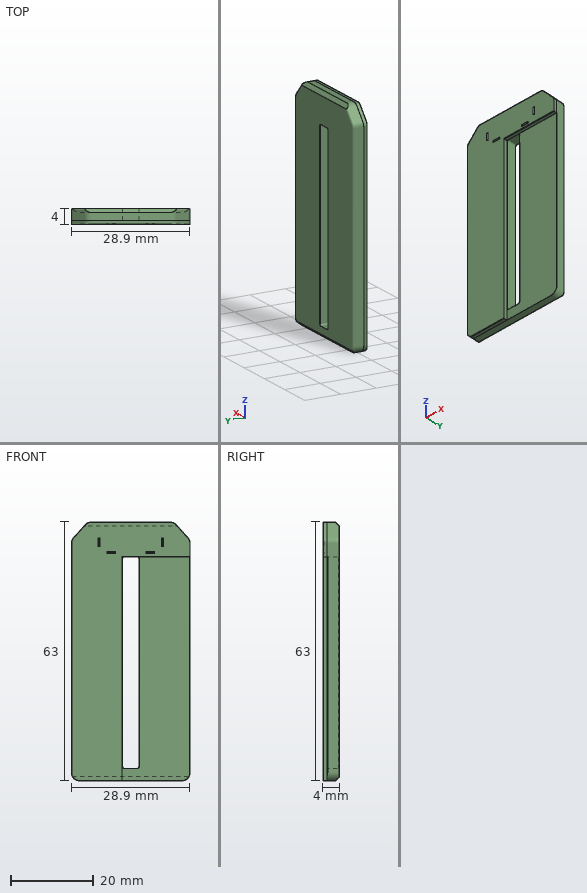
import cadquery as cq

height = 63.0
width = 28.9
depth = 4.0
front_y = -depth / 2
back_y = depth / 2
full_width = (-width / 2, width / 2)
full_height = (-height / 2, height / 2)

front_chamfer = 0.1
bevel_width = 4.0
bevel_height = 4.4
corner_radius = 2.0

plate_thickness = 1.0
joint_y = front_y + plate_thickness
plate_inner_x = -2.15
plate_inner_z = 23.05

base_thickness = depth - plate_thickness
back_edge_radius = 0.5
end_slope = 1.0
slot_width = 3.9
slot_bottom_z = -28.5
slot_corner_radius = 0.4
slot_chamfer = 0.2

groove_length = 2.15
groove_width = 0.5
groove_depth = 0.25
upright_groove_x = 7.75
upright_groove_z = 26.6
level_groove_x = 4.7
level_groove_z = 24.05


def box_between(x_range, y_range, z_range):
    """Box spanning the given (low, high) ranges."""
    lows, highs = zip(x_range, y_range, z_range)
    sizes = [high - low for low, high in zip(lows, highs)]
    return cq.Workplane("XY").box(*sizes, centered=False).translate(lows)


def outline_slab(y_start, thickness):
    """Slab with bevelled top corners and all outline corners rounded, extending toward +Y."""
    half_width = width / 2
    half_height = height / 2
    points = [
        (-half_width, -half_height),
        (half_width, -half_height),
        (half_width, half_height - bevel_height),
        (half_width - bevel_width, half_height),
        (bevel_width - half_width, half_height),
        (-half_width, half_height - bevel_height),
    ]
    slab = cq.Workplane("XZ", origin=(0, y_start, 0)).polyline(points).close().extrude(-thickness)
    return slab.edges("|Y").fillet(corner_radius)


def wedge(axis, edge, face_y, inward, size, span):
    """45-degree cutter for one straight edge lying in the plane y = face_y.

    axis is the coordinate ("X" or "Z") that the edge limits and edge is its value there.
    inward holds the signs (along axis, along Y) that lead from the edge into the material.
    span is the range that the cutter covers along the edge.
    """
    start, end = span
    points = [
        (edge, face_y),
        (edge + inward[0] * size, face_y),
        (edge, face_y + inward[1] * size),
    ]
    if axis == "X":
        return cq.Workplane("XY", origin=(0, 0, start)).polyline(points).close().extrude(end - start)
    swapped = [(y, z) for z, y in points]
    return cq.Workplane("YZ", origin=(start, 0, 0)).polyline(swapped).close().extrude(end - start)


def make_base():
    base = outline_slab(joint_y, base_thickness).faces(">Y").edges().fillet(back_edge_radius)
    for end in (1, -1):
        base = base.cut(wedge("Z", end * height / 2, back_y, (-end, -1), end_slope, full_width))
    slot = box_between(
        (-slot_width / 2, slot_width / 2), (joint_y, back_y), (slot_bottom_z, plate_inner_z)
    )
    base = base.cut(slot.edges("|Y").fillet(slot_corner_radius))
    slot_side = (slot_bottom_z + slot_corner_radius, plate_inner_z - slot_corner_radius)
    for face_y, inward_y in ((joint_y, 1), (back_y, -1)):
        base = base.cut(wedge("X", slot_width / 2, face_y, (1, inward_y), slot_chamfer, slot_side))
    outer_side = (-height / 2, plate_inner_z)
    return base.cut(wedge("X", width / 2, joint_y, (-1, 1), front_chamfer, outer_side))


def v_groove():
    """Upright V-groove cutter with its open side on the front face."""
    points = [
        (-groove_width / 2, front_y),
        (groove_width / 2, front_y),
        (0, front_y + groove_depth),
    ]
    return cq.Workplane("XY").polyline(points).close().extrude(groove_length / 2, both=True)


def make_plate():
    plate = outline_slab(front_y, plate_thickness)
    opening = box_between(
        (plate_inner_x, width), (front_y, joint_y), (-height, plate_inner_z)
    )
    plate = plate.cut(opening)
    for edge_z, inward_z in ((height / 2, -1), (-height / 2, 1)):
        plate = plate.cut(wedge("Z", edge_z, front_y, (inward_z, 1), front_chamfer, full_width))
    band_underside = (plate_inner_x, width / 2)
    plate = plate.cut(wedge("Z", plate_inner_z, front_y, (1, 1), front_chamfer, band_underside))
    plate = plate.cut(wedge("X", -width / 2, front_y, (1, 1), front_chamfer, full_height))
    upright = v_groove()
    level = upright.rotate((0, 0, 0), (0, 1, 0), 90)
    for side in (-1, 1):
        plate = plate.cut(upright.translate((side * upright_groove_x, 0, upright_groove_z)))
        plate = plate.cut(level.translate((side * level_groove_x, 0, level_groove_z)))
    return plate


base = make_base()
plate = make_plate()
result = cq.Compound.makeCompound([base.val(), plate.val()])